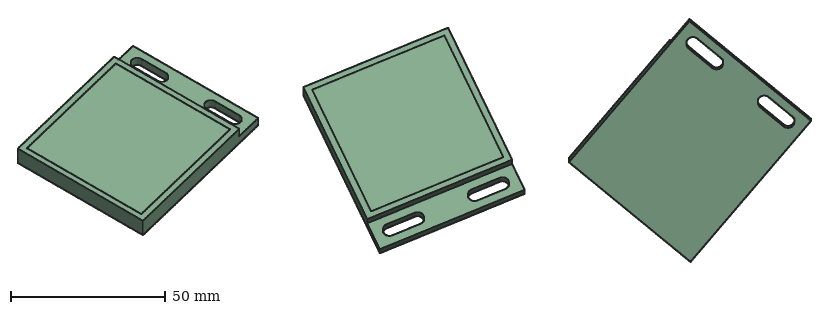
import cadquery as cq

width = 51.5
length = 61.0
height = 7.0

flange_depth = 10.0
flange_height = height / 2
flange_middle_y = length / 2 - flange_depth / 2

slot_length = 14.3
slot_width = 4.3
slot_spacing = 30.2

recess_size = 47.0
recess_depth = 0.1
body_middle_y = -flange_depth / 2


def block(size_x, size_y, size_z, middle_y, bottom_z):
    """Box centred on X, standing on bottom_z."""
    return (
        cq.Workplane("XY")
        .box(size_x, size_y, size_z, centered=(True, True, False))
        .translate((0, middle_y, bottom_z))
    )


def stepped_plate():
    """Thick body with the thin flange left along its +Y edge."""
    plate = block(width, length, height, 0, 0)
    step = block(width, flange_depth, height - flange_height, flange_middle_y, flange_height)
    return plate.cut(step)


def flange_slots():
    """Cutters for the two slots, centred across the flange."""
    centers = [(side * slot_spacing / 2, flange_middle_y) for side in (-1, 1)]
    return (
        cq.Workplane("XY")
        .pushPoints(centers)
        .slot2D(slot_length, slot_width)
        .extrude(flange_height)
    )


def top_recess():
    """Cutter for the shallow square recess."""
    return block(recess_size, recess_size, recess_depth, body_middle_y, height - recess_depth)


result = stepped_plate().cut(flange_slots()).cut(top_recess())